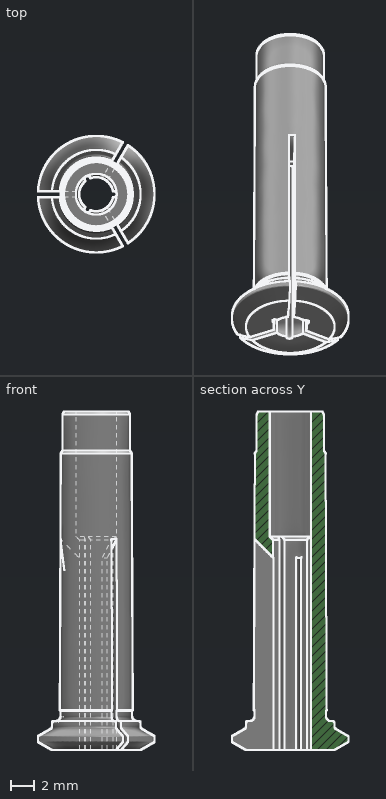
import cadquery as cq
import math

TOTAL_LENGTH = 29.0

FOOT_RADIUS = 3.8
RIM_RADIUS = 5.0
FLARE_ANGLE = 30.0
RIM_TOP_Z = 1.2
RIM_ROUND = 0.15

SHOULDER_RADIUS = 3.8
SHOULDER_TOP_Z = 2.5
SHOULDER_ROUND = 0.15
SHOULDER_ROOT_ROUND = 0.2

NECK_RADIUS = 3.08
NECK_ROOT_ROUND = 0.4
NECK_TOP_Z = 3.35

SLEEVE_BOTTOM_RADIUS = 3.14
SLEEVE_TOP_RADIUS = 3.045
SLEEVE_BOTTOM_Z = 3.45
SLEEVE_TOP_Z = 25.4

SPIGOT_RADIUS = 5.8 / 2
SPIGOT_BOTTOM_Z = 25.65
SPIGOT_CHAMFER_HEIGHT = 0.26
SPIGOT_CHAMFER_WIDTH = SPIGOT_CHAMFER_HEIGHT * math.tan(math.radians(30.0))

WIDE_BORE_RADIUS = 1.75
NARROW_BORE_RADIUS = 1.45
BORE_CONE_BOTTOM_Z = 18.0
BORE_CONE_TOP_Z = BORE_CONE_BOTTOM_Z + WIDE_BORE_RADIUS - NARROW_BORE_RADIUS

SLIT_ANGLES = (60.0, 180.0, 300.0)
SLIT_WIDTH = 0.5
SLIT_BORE_TOP_Z = 16.45
GROOVE_TIP_RADIUS = 1.75
CUT_MARGIN = 1.0


def make_body():
    """Revolve the outer profile about Z, then round the flange and shoulder edges."""
    flare_height = (RIM_RADIUS - FOOT_RADIUS) * math.tan(math.radians(FLARE_ANGLE))
    body = (
        cq.Workplane("XZ")
        .moveTo(0, 0)
        .lineTo(FOOT_RADIUS, 0)
        .lineTo(RIM_RADIUS, flare_height)
        .lineTo(RIM_RADIUS, RIM_TOP_Z)
        .lineTo(SHOULDER_RADIUS, RIM_TOP_Z + flare_height)
        .lineTo(SHOULDER_RADIUS, SHOULDER_TOP_Z)
        .lineTo(NECK_RADIUS, SHOULDER_TOP_Z)
        .lineTo(NECK_RADIUS, NECK_TOP_Z)
        .lineTo(SLEEVE_BOTTOM_RADIUS, SLEEVE_BOTTOM_Z)
        .lineTo(SLEEVE_TOP_RADIUS, SLEEVE_TOP_Z)
        .lineTo(SPIGOT_RADIUS, SPIGOT_BOTTOM_Z)
        .lineTo(SPIGOT_RADIUS, TOTAL_LENGTH - SPIGOT_CHAMFER_HEIGHT)
        .lineTo(SPIGOT_RADIUS - SPIGOT_CHAMFER_WIDTH, TOTAL_LENGTH)
        .lineTo(0, TOTAL_LENGTH)
        .close()
        .revolve(360, (0, 0, 0), (0, 1, 0))
    )
    body = round_edge(body, RIM_RADIUS, flare_height, RIM_ROUND)
    body = round_edge(body, RIM_RADIUS, RIM_TOP_Z, RIM_ROUND)
    body = round_edge(body, SHOULDER_RADIUS, RIM_TOP_Z + flare_height, SHOULDER_ROOT_ROUND)
    body = round_edge(body, SHOULDER_RADIUS, SHOULDER_TOP_Z, SHOULDER_ROUND)
    return round_edge(body, NECK_RADIUS, SHOULDER_TOP_Z, NECK_ROOT_ROUND)


def round_edge(body, radius, z, fillet_radius):
    """Fillet the circular edge of the given radius at height z."""
    tolerance = 0.001

    def matches(edge):
        if edge.geomType() != "CIRCLE":
            return False
        same_radius = abs(edge.radius() - radius) < tolerance
        same_height = abs(edge.arcCenter().z - z) < tolerance
        return same_radius and same_height

    return body.edges().filter(matches).fillet(fillet_radius)


def make_bore():
    """Revolve the stepped bore about Z."""
    return (
        cq.Workplane("XZ")
        .moveTo(0, -CUT_MARGIN)
        .lineTo(NARROW_BORE_RADIUS, -CUT_MARGIN)
        .lineTo(NARROW_BORE_RADIUS, BORE_CONE_BOTTOM_Z)
        .lineTo(WIDE_BORE_RADIUS, BORE_CONE_TOP_Z)
        .lineTo(WIDE_BORE_RADIUS, TOTAL_LENGTH + CUT_MARGIN)
        .lineTo(0, TOTAL_LENGTH + CUT_MARGIN)
        .close()
        .revolve(360, (0, 0, 0), (0, 1, 0))
    )


def make_slit():
    """Slit on the +X side, its upper end rising outward at 45 degrees."""
    outer_reach = RIM_RADIUS + CUT_MARGIN
    outer_top_z = SLIT_BORE_TOP_Z + outer_reach - NARROW_BORE_RADIUS
    return (
        cq.Workplane("XZ")
        .moveTo(0, -CUT_MARGIN)
        .lineTo(outer_reach, -CUT_MARGIN)
        .lineTo(outer_reach, outer_top_z)
        .lineTo(NARROW_BORE_RADIUS, SLIT_BORE_TOP_Z)
        .lineTo(0, SLIT_BORE_TOP_Z)
        .close()
        .extrude(SLIT_WIDTH / 2, both=True)
    )


def make_groove():
    """Round-bottomed groove on the -X side of the narrow bore, open into the wide bore."""
    half_width = SLIT_WIDTH / 2
    round_center_x = half_width - GROOVE_TIP_RADIUS
    return (
        cq.Workplane("XY")
        .workplane(offset=-CUT_MARGIN)
        .moveTo(0, -half_width)
        .lineTo(0, half_width)
        .lineTo(round_center_x, half_width)
        .threePointArc((-GROOVE_TIP_RADIUS, 0), (round_center_x, -half_width))
        .close()
        .extrude(BORE_CONE_TOP_Z + CUT_MARGIN)
    )


result = make_body().cut(make_bore())
slit_with_groove = make_slit().union(make_groove())
for angle in SLIT_ANGLES:
    result = result.cut(slit_with_groove.rotate((0, 0, 0), (0, 0, 1), angle))